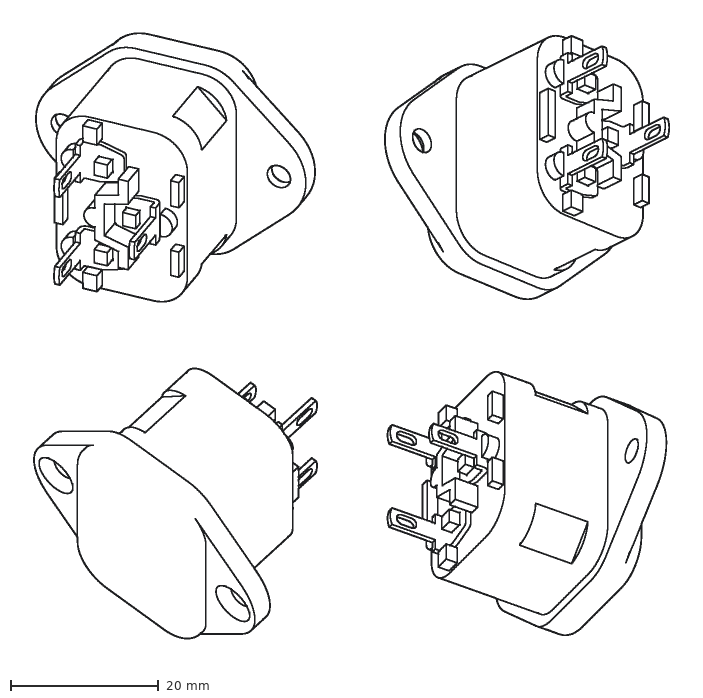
import cadquery as cq
import math


flange_width = 40.0
flange_height = 30.0
flange_thickness = 3.1
flange_end_radius = 7.75
mount_hole_spacing = 32.0
mount_hole_diameter = 3.4
mount_hole_straight_depth = 1.5
mount_hole_front_diameter = 6.1
bezel_width = 22.3
bezel_corner_radius = 6.0
bezel_depth = 5.1
bezel_edge_radius = 1.5

body_width = 19.4
body_height = 26.9
body_corner_radius = 5.0
body_depth = 16.2
corner_flat_length = 8.2
corner_flat_start = 3.1
corner_flat_setback = 1.03
corner_flat_angle = 45

pad_height = 1.7
corner_pad_size = (2.1, 2.55)
corner_pad_center = (-3.97, 11.7)
side_bar_width = 1.25
side_bar_x = 8.6
left_bar_length = 7.1
right_bar_length = 4.0
right_bar_z = 5.55
half_round_radius = 1.77
half_round_flat_x = 6.45
barrier_height = 3.5
barrier_tip_x = 2.48
barrier_tip_z = 7.05
barrier_arm_width = 1.45
barrier_outer_x = -2.45
barrier_outer_z = 3.55
barrier_inner_x = -1.02
barrier_inner_z = 2.5
barrier_slope = 0.27
barrier_boss_radius = 1.5
barrier_boss_x = -2.55

live_terminal_z = 7.0
earth_standoff = 0.15
spacer_size = 3.3
sheet_thickness = 0.75
bend_inner_radius = 0.15
terminal_leg_x = 5.97
terminal_tip_x = -0.67
terminal_width = 5.9
terminal_taper_start_x = 2.75
terminal_taper_angle = 15.0
terminal_corner_radius = 0.6
shoulder_depth = 2.05
lug_width = 2.8
lug_end_depth = 9.14
lug_tip_rise = 0.28
lug_slot_length = 3.1
lug_slot_width = 1.6
lug_slot_depth = 6.56

pin_inner_x = 1.13
pin_width = 1.95
pin_height = 2.1
pin_end_depth = 2.28
pin_hole_clearance = 0.15

LEFT, RIGHT = -1, 1
terminal_places = [
    (LEFT, live_terminal_z, 0.0),
    (LEFT, -live_terminal_z, 0.0),
    (RIGHT, 0.0, earth_standoff),
]

pin_center_x = pin_inner_x + pin_width / 2


def plane_at(y):
    """XZ plane at the given Y whose extrusions go towards -Y."""
    return cq.Workplane("XZ", origin=(0, y, 0))


def rear_block(x, z, width, height, depth):
    """Rectangular block standing on the rear face of the housing."""
    return plane_at(-body_depth).center(x, z).rect(width, height).extrude(depth)


def rounded_block(front_y, width, height, radius, depth):
    """Block extruded along -Y, with its four corners rounded."""
    block = plane_at(front_y).rect(width, height).extrude(depth)
    return block.edges("|Y").fillet(radius)


def make_flange():
    """Flange whose round ends and bezel corners are joined by common tangents."""
    corner_x = bezel_width / 2 - bezel_corner_radius
    corner_z = flange_height / 2 - bezel_corner_radius
    end_x = flange_width / 2 - flange_end_radius
    run = end_x - corner_x
    distance = math.hypot(run, corner_z)
    radius_tilt = math.asin((flange_end_radius - bezel_corner_radius) / distance)
    tangent = math.atan2(corner_z, run) - radius_tilt

    def corner_point(angle):
        """Point on the bezel corner arc, at an angle from +Z towards +X."""
        return (
            corner_x + bezel_corner_radius * math.sin(angle),
            corner_z + bezel_corner_radius * math.cos(angle),
        )

    def end_point(angle):
        """Point on the round end, at an angle from +Z towards +X."""
        return (
            end_x + flange_end_radius * math.sin(angle),
            flange_end_radius * math.cos(angle),
        )

    quarter = (
        plane_at(flange_thickness)
        .lineTo(0, flange_height / 2)
        .lineTo(corner_x, flange_height / 2)
        .threePointArc(corner_point(tangent / 2), corner_point(tangent))
        .lineTo(*end_point(tangent))
        .threePointArc(end_point((tangent + math.pi / 2) / 2), (flange_width / 2, 0))
        .close()
        .extrude(flange_thickness)
    )
    half = quarter.union(quarter.mirror("XY"))
    return half.union(half.mirror("YZ")).clean()


def make_bezel():
    """Raised rim with a rounded front edge."""
    bezel = rounded_block(bezel_depth, bezel_width, flange_height, bezel_corner_radius, bezel_depth)
    return bezel.faces(">Y").edges().fillet(bezel_edge_radius)


def cut_corner_flats(body):
    """Sloping flat on each of the two rounded +X corners."""
    arc_x = body_width / 2 - body_corner_radius
    arc_z = body_height / 2 - body_corner_radius
    flat_distance = body_corner_radius - corner_flat_setback
    for side in (1, -1):
        cutter = (
            cq.Workplane("XY")
            .rect(2 * body_corner_radius, corner_flat_length)
            .extrude(body_corner_radius)
            .translate((0, -corner_flat_start - corner_flat_length / 2, flat_distance))
            .rotate((0, 0, 0), (0, 1, 0), 90 - side * (90 - corner_flat_angle))
            .translate((arc_x, 0, side * arc_z))
        )
        body = body.cut(cutter)
    return body


def make_barrier():
    """Forked wall between the live terminals and the earth terminal, with a round boss."""
    arm_x = barrier_tip_x - barrier_arm_width
    upper = [
        (barrier_outer_x, barrier_outer_z),
        (arm_x, barrier_outer_z + barrier_slope * (arm_x - barrier_outer_x)),
        (arm_x, barrier_tip_z),
        (barrier_tip_x, barrier_tip_z),
        (barrier_tip_x, barrier_inner_z + barrier_slope * (barrier_tip_x - barrier_inner_x)),
        (barrier_inner_x, barrier_inner_z),
    ]
    lower = [(x, -z) for x, z in reversed(upper)]
    wall = plane_at(-body_depth).polyline(upper + lower).close().extrude(barrier_height)
    boss = plane_at(-body_depth).center(barrier_boss_x, 0).circle(barrier_boss_radius)
    boss = boss.extrude(barrier_height)
    boss_diameter = 2 * barrier_boss_radius
    earth_side_x = barrier_inner_x + barrier_boss_radius
    earth_side = rear_block(earth_side_x, 0, boss_diameter, boss_diameter, barrier_height)
    return wall.union(boss.cut(earth_side))


def make_half_round(side, z):
    """Half-round post with its flat towards the terminal leg."""
    return (
        plane_at(-body_depth)
        .moveTo(side * half_round_flat_x, z + half_round_radius)
        .threePointArc(
            (side * (half_round_flat_x + half_round_radius), z),
            (side * half_round_flat_x, z - half_round_radius),
        )
        .close()
        .extrude(pad_height)
    )


def make_mount_hole(side):
    """Straight at the rear of the flange, then widening as a cone to the front."""
    rear_radius = mount_hole_diameter / 2
    front_radius = mount_hole_front_diameter / 2
    return (
        cq.Workplane("XY")
        .lineTo(rear_radius, 0)
        .lineTo(rear_radius, mount_hole_straight_depth)
        .lineTo(front_radius, flange_thickness)
        .lineTo(0, flange_thickness)
        .close()
        .revolve(360, (0, 0, 0), (0, 1, 0))
        .translate((side * mount_hole_spacing / 2, 0, 0))
    )


def make_housing():
    """Flange, bezel and body in one piece, with the raised details on the rear face."""
    body = rounded_block(0, body_width, body_height, body_corner_radius, body_depth)
    housing = make_flange().union(make_bezel()).union(cut_corner_flats(body))
    housing = housing.union(make_barrier())
    housing = housing.union(rear_block(-side_bar_x, 0, side_bar_width, left_bar_length, pad_height))
    for up in (1, -1):
        corner_x, corner_z = corner_pad_center
        housing = housing.union(rear_block(corner_x, up * corner_z, *corner_pad_size, pad_height))
        housing = housing.union(
            rear_block(side_bar_x, up * right_bar_z, side_bar_width, right_bar_length, pad_height)
        )
    for side, z, standoff in terminal_places:
        housing = housing.union(make_half_round(side, z))
        if standoff > 0:
            spacer = rear_block(side * pin_center_x, z, spacer_size, spacer_size, standoff)
            housing = housing.union(spacer)
    for side in (LEFT, RIGHT):
        housing = housing.cut(make_mount_hole(side))
    return housing


def make_terminal(side, z, standoff):
    """Terminal modelled with its leg on +X and its plate on Y = 0, then put in place."""
    bend_outer_radius = bend_inner_radius + sheet_thickness
    half_width = terminal_width / 2

    leg_inner_x = terminal_leg_x - sheet_thickness
    strip = (
        cq.Workplane("XY", origin=(0, 0, -half_width))
        .moveTo(terminal_tip_x, 0)
        .lineTo(terminal_leg_x - bend_outer_radius, 0)
        .radiusArc((terminal_leg_x, -bend_outer_radius), bend_outer_radius)
        .lineTo(terminal_leg_x, -lug_end_depth)
        .lineTo(leg_inner_x, -lug_end_depth)
        .lineTo(leg_inner_x, -bend_outer_radius)
        .radiusArc((leg_inner_x - bend_inner_radius, -sheet_thickness), -bend_inner_radius)
        .lineTo(terminal_tip_x, -sheet_thickness)
        .close()
        .extrude(terminal_width)
    )

    taper_run = terminal_taper_start_x - terminal_tip_x
    tip_half_width = half_width - taper_run * math.tan(math.radians(terminal_taper_angle))
    plate_outline = (
        plane_at(0)
        .polyline([
            (terminal_leg_x, half_width),
            (terminal_taper_start_x, half_width),
            (terminal_tip_x, tip_half_width),
            (terminal_tip_x, -tip_half_width),
            (terminal_taper_start_x, -half_width),
            (terminal_leg_x, -half_width),
        ])
        .close()
        .extrude(lug_end_depth)
        .edges("|Y and <X")
        .fillet(terminal_corner_radius)
    )

    lug_half = lug_width / 2
    lug_side_depth = lug_end_depth - lug_tip_rise
    leg_outline = (
        cq.Workplane("YZ", origin=(terminal_tip_x, 0, 0))
        .moveTo(0, half_width)
        .lineTo(-shoulder_depth, half_width)
        .lineTo(-shoulder_depth, lug_half)
        .lineTo(-lug_side_depth, lug_half)
        .threePointArc((-lug_end_depth, 0), (-lug_side_depth, -lug_half))
        .lineTo(-shoulder_depth, -lug_half)
        .lineTo(-shoulder_depth, -half_width)
        .lineTo(0, -half_width)
        .close()
        .extrude(terminal_leg_x - terminal_tip_x)
    )
    wire_slot = (
        cq.Workplane("YZ")
        .center(-lug_slot_depth, 0)
        .slot2D(lug_slot_length, lug_slot_width)
        .extrude(terminal_leg_x)
    )
    pin_hole = (
        plane_at(0)
        .center(pin_center_x - pin_hole_clearance / 2, 0)
        .rect(pin_width + pin_hole_clearance, pin_height)
        .extrude(sheet_thickness)
    )

    terminal = strip.intersect(plate_outline).intersect(leg_outline).cut(wire_slot).cut(pin_hole)
    if side == LEFT:
        terminal = terminal.mirror("YZ")
    return terminal.translate((0, -body_depth - standoff, z))


def make_pin(side, z, standoff):
    """Square post standing on the housing and passing through the terminal plate."""
    pin = rear_block(side * pin_center_x, z, pin_width, pin_height, pin_end_depth - standoff)
    return pin.translate((0, -standoff, 0))


housing = make_housing()
terminals = [make_terminal(*place) for place in terminal_places]
pins = [make_pin(*place) for place in terminal_places]

result = cq.Compound.makeCompound([
    housing.val(),
    *[terminal.val() for terminal in terminals],
    *[pin.val() for pin in pins],
])